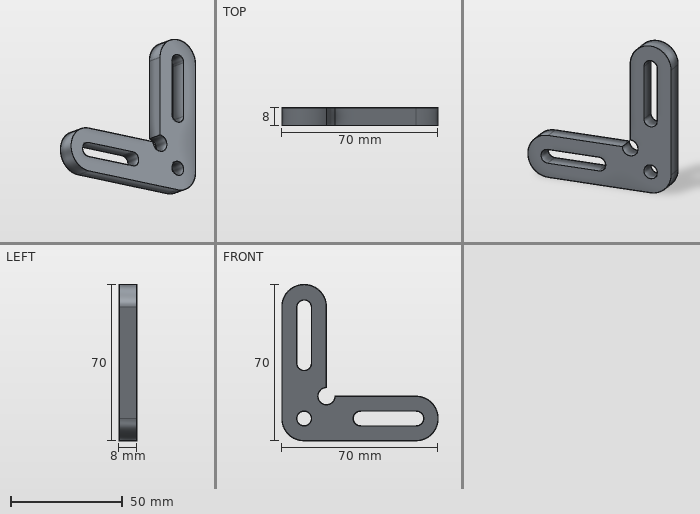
import cadquery as cq

overall_length = 70.0
leg_width = 20.0
thickness = 8.0
hole_diameter = 6.5
slot_length = 31.5
horizontal_slot_margin = 6.5
vertical_slot_margin = 7.0
relief_diameter = 7.6

end_radius = leg_width / 2
tip_distance = overall_length - end_radius
leg_centre = overall_length / 2 - end_radius
horizontal_slot_centre = tip_distance - horizontal_slot_margin - slot_length / 2
vertical_slot_centre = tip_distance - vertical_slot_margin - slot_length / 2

ALONG_X = 0
ALONG_Z = 90


def round_ended_bar(x, z, length, width, angle):
    """Full-thickness bar with semicircular ends, centred on (x, z), from Y = 0 to +Y."""
    return cq.Workplane("XZ").center(x, z).slot2D(length, width, angle).extrude(-thickness)


def cylinder(x, z, diameter):
    """Full-thickness cylinder with its axis along Y through (x, z)."""
    return cq.Workplane("XZ").center(x, z).circle(diameter / 2).extrude(-thickness)


horizontal_leg = round_ended_bar(leg_centre, 0, overall_length, leg_width, ALONG_X)
vertical_leg = round_ended_bar(0, leg_centre, overall_length, leg_width, ALONG_Z)
bracket = horizontal_leg.union(vertical_leg)

bracket = bracket.cut(round_ended_bar(horizontal_slot_centre, 0, slot_length, hole_diameter, ALONG_X))
bracket = bracket.cut(round_ended_bar(0, vertical_slot_centre, slot_length, hole_diameter, ALONG_Z))

bracket = bracket.cut(cylinder(0, 0, hole_diameter))
bracket = bracket.cut(cylinder(end_radius, end_radius, relief_diameter))

result = bracket